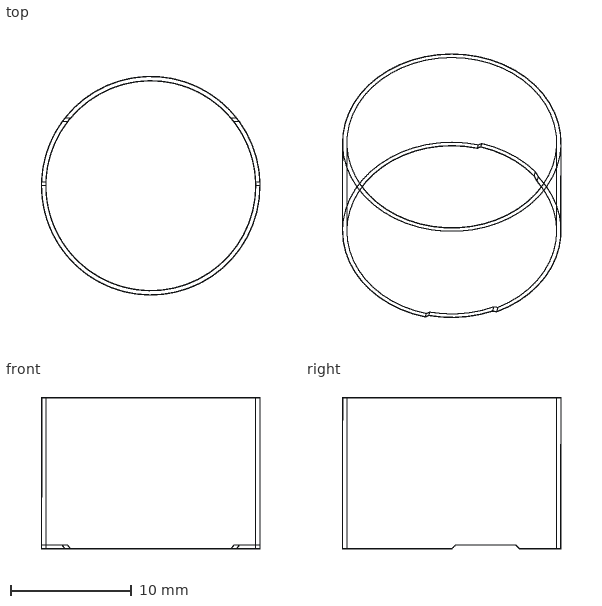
import cadquery as cq

outer_diameter = 18.08
inner_diameter = 17.35
height = 12.5

notch_depth = 0.3
notch_start_y = 0.0
notch_mouth_width = 5.6
notch_flank_run = notch_depth


def make_sleeve():
    """Thin-walled tube standing on the XY plane."""
    return (
        cq.Workplane("XY")
        .circle(outer_diameter / 2)
        .circle(inner_diameter / 2)
        .extrude(height)
    )


def make_notch_cutter():
    """Trapezoidal bar along X, wider at the rim than at the notch roof."""
    notch_end_y = notch_start_y + notch_mouth_width
    return (
        cq.Workplane("YZ")
        .moveTo(notch_start_y, 0)
        .lineTo(notch_end_y, 0)
        .lineTo(notch_end_y - notch_flank_run, notch_depth)
        .lineTo(notch_start_y + notch_flank_run, notch_depth)
        .close()
        .extrude(outer_diameter / 2, both=True)
    )


result = make_sleeve().cut(make_notch_cutter())